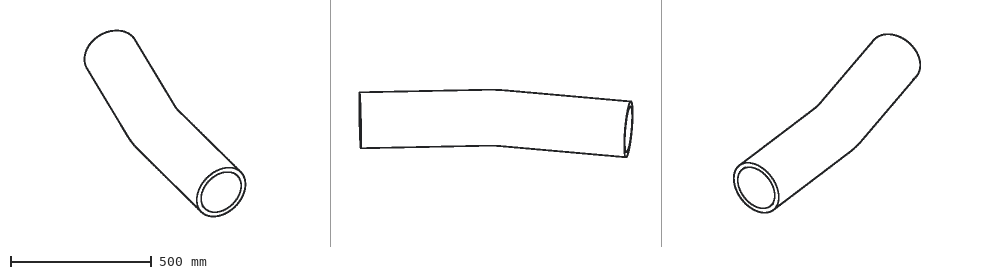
import cadquery as cq
import math

overall_length = 970.0
outer_diameter = 200.0
inner_diameter = 164.0
bend_angle = 11.0
bend_radius = 1.5 * outer_diameter

angle = math.radians(bend_angle)
bend_reach = bend_radius * math.sin(angle)
end_face_reach = outer_diameter / 2 * math.sin(angle)
leg_length = (overall_length - bend_reach - end_face_reach) / (1 + math.cos(angle))


def pipe_ring(face):
    """Pipe cross-section drawn on the given plane or face."""
    return face.circle(outer_diameter / 2).circle(inner_diameter / 2)


first_leg = pipe_ring(cq.Workplane("YZ")).extrude(leg_length)

bend_start = cq.Workplane("YZ", origin=(leg_length, 0, 0))
bend = pipe_ring(bend_start).revolve(bend_angle, (bend_radius, 0, 0), (bend_radius, 1, 0))

bend_end = cq.Plane(
    origin=(leg_length + bend_reach, bend_radius * (1 - math.cos(angle)), 0),
    xDir=(-math.sin(angle), math.cos(angle), 0),
    normal=(math.cos(angle), math.sin(angle), 0),
)
second_leg = pipe_ring(cq.Workplane(bend_end)).extrude(leg_length)

result = first_leg.union(bend).union(second_leg)